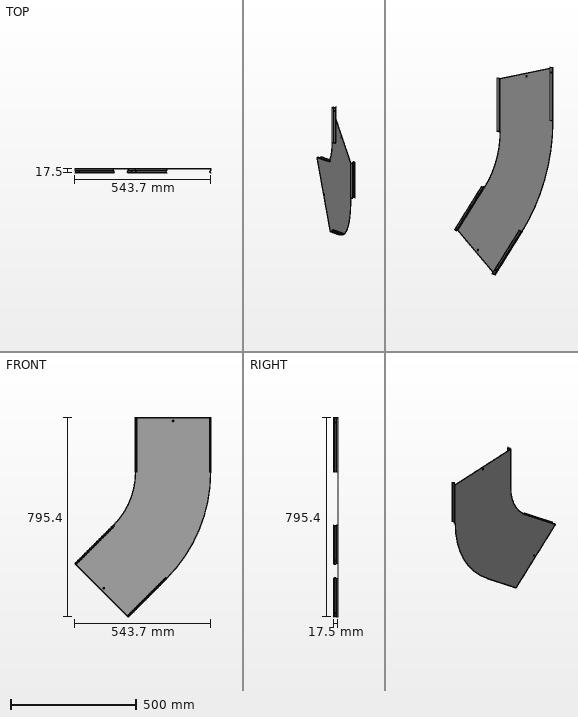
import cadquery as cq
import math


bend_angle = 45.0
sheet = 1.0
straight_length = 217.0
outer_radius = 601.0
inner_radius = 298.0
arc_setback = 1.0

flange_depth = 17.5
groove_half_height = 5.2
leg_depth = flange_depth - 2 * groove_half_height
groove_middle = leg_depth + groove_half_height
wall = sheet * math.sqrt(2)

plate_hole_diameter = 5.0
plate_hole_from_end = 13.0
flange_hole_diameter = 4.0
flange_hole_from_end = 20.0
flange_hole_offset = groove_half_height / 2
flange_drill_length = 3 * sheet

plate_middle_radius = (outer_radius + inner_radius) / 2
plate_width = outer_radius - inner_radius


def on_arc(radius, angle):
    """XZ point on an arc about the bend axis, turned down from +X by angle degrees."""
    turn = math.radians(angle)
    return (radius * math.cos(turn), -radius * math.sin(turn))


def curved_plate():
    """Ring sector sweeping from the +X axis down through the bend angle."""
    outer = outer_radius - arc_setback
    inner = inner_radius + arc_setback
    return (
        cq.Workplane("XZ")
        .moveTo(inner, 0)
        .lineTo(outer, 0)
        .threePointArc(on_arc(outer, bend_angle / 2), on_arc(outer, bend_angle))
        .lineTo(*on_arc(inner, bend_angle))
        .threePointArc(on_arc(inner, bend_angle / 2), (inner, 0))
        .close()
        .extrude(sheet)
    )


def flange_hole(face_x, inward):
    """Drill body square to the first groove wall, near the free end of the flange."""
    direction = cq.Vector(inward, 1, 0).normalized()
    on_wall = cq.Vector(
        face_x + inward * flange_hole_offset,
        -(leg_depth + flange_hole_offset),
        straight_length - flange_hole_from_end,
    )
    start = on_wall - direction * sheet
    drill = cq.Solid.makeCylinder(flange_hole_diameter / 2, flange_drill_length, start, direction)
    return cq.Workplane(drill)


def flange(face_x, inward):
    """Flange with its outside at face_x; inward is the X direction (+1 or -1) of the plate."""
    profile = [
        (0, 0),
        (0, leg_depth),
        (groove_half_height, groove_middle),
        (0, flange_depth),
        (wall, flange_depth),
        (groove_half_height + wall, groove_middle),
        (sheet, leg_depth + sheet - wall),
        (sheet, 0),
    ]
    points = [(face_x + inward * distance, -depth) for distance, depth in profile]
    body = cq.Workplane("XY").polyline(points).close().extrude(straight_length)
    return body.cut(flange_hole(face_x, inward))


def straight_end():
    """Straight run rising from Z = 0, with a flange on each side and a hole near its end."""
    plate = (
        cq.Workplane("XZ")
        .moveTo(plate_middle_radius, straight_length / 2)
        .rect(plate_width, straight_length)
        .extrude(sheet)
    )
    hole = (
        cq.Workplane("XZ")
        .moveTo(plate_middle_radius, straight_length - plate_hole_from_end)
        .circle(plate_hole_diameter / 2)
        .extrude(sheet)
    )
    return plate.cut(hole).union(flange(inner_radius, 1)).union(flange(outer_radius, -1))


upper_end = straight_end()
lower_end = upper_end.mirror("XY").rotate((0, 0, 0), (0, 1, 0), bend_angle)

result = curved_plate().union(upper_end).union(lower_end)